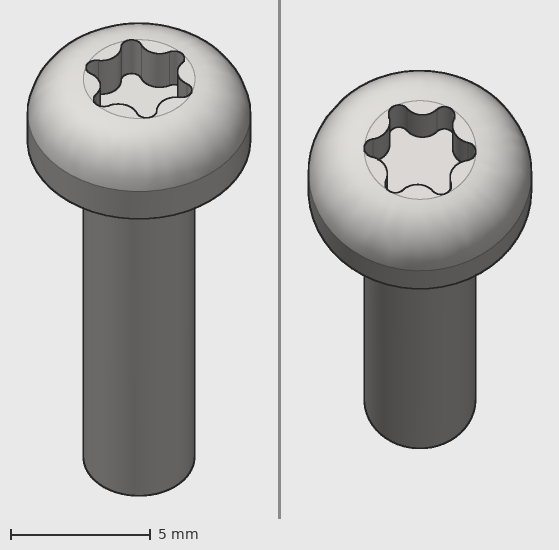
import cadquery as cq
import math

shank_diameter = 4.0
shank_length = 16.0

head_diameter = 8.0
head_height = 3.1
skirt_height = 1.4
top_flat_diameter = 4.0

lobe_count = 6
socket_outer_diameter = top_flat_diameter
socket_inner_diameter = 2.82
lobe_tip_radius = 0.37
socket_depth = 1.7


def polar_point(radius, angle):
    """Return the XY point at a radius and an angle in radians."""
    return (radius * math.cos(angle), radius * math.sin(angle))


def make_shank():
    """Plain cylinder hanging below the head."""
    return cq.Workplane("XY").circle(shank_diameter / 2).extrude(-shank_length)


def make_head():
    """Revolved head: straight skirt, then an arc that is level where it meets the top flat."""
    head_radius = head_diameter / 2
    top_flat_radius = top_flat_diameter / 2
    return (
        cq.Workplane("XZ")
        .lineTo(0, head_height)
        .lineTo(top_flat_radius, head_height)
        .tangentArcPoint((head_radius, skirt_height), relative=False)
        .lineTo(head_radius, 0)
        .close()
        .revolve(360, (0, 0, 0), (0, 1, 0))
    )


def make_socket():
    """Six rounded lobes joined by tangent arcs that bulge toward the axis."""
    tip_reach = socket_outer_diameter / 2
    valley_reach = socket_inner_diameter / 2
    half_pitch = math.pi / lobe_count
    tip_center = tip_reach - lobe_tip_radius

    along_valley = tip_center * math.cos(half_pitch)
    valley_radius = (
        (tip_center**2 + valley_reach**2 - 2 * valley_reach * along_valley - lobe_tip_radius**2)
        / (2 * (lobe_tip_radius - valley_reach + along_valley))
    )
    valley_center = valley_reach + valley_radius

    valley_x, valley_y = polar_point(valley_center, half_pitch)
    tip_share = lobe_tip_radius / (lobe_tip_radius + valley_radius)
    tangent_x = tip_center + tip_share * (valley_x - tip_center)
    tangent_y = tip_share * valley_y
    tangent_reach = math.hypot(tangent_x, tangent_y)
    tangent_angle = math.atan2(tangent_y, tangent_x)

    first_tip_angle = math.pi / 2
    outline = cq.Workplane("XY", origin=(0, 0, head_height)).moveTo(
        *polar_point(tangent_reach, first_tip_angle - tangent_angle)
    )
    for lobe in range(lobe_count):
        tip_angle = first_tip_angle + 2 * half_pitch * lobe
        next_tip_angle = tip_angle + 2 * half_pitch
        outline = outline.threePointArc(
            polar_point(tip_reach, tip_angle),
            polar_point(tangent_reach, tip_angle + tangent_angle),
        ).threePointArc(
            polar_point(valley_reach, tip_angle + half_pitch),
            polar_point(tangent_reach, next_tip_angle - tangent_angle),
        )
    return outline.close().extrude(-socket_depth)


result = make_head().union(make_shank()).cut(make_socket())